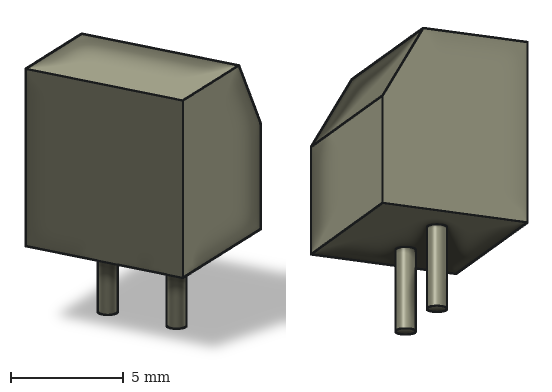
import cadquery as cq
import math

body_width = 8.0
body_depth = 7.0
body_height = 8.4
back_wall_height = 5.0
slope_angle = math.radians(60)

overall_height = 12.2
pin_length = overall_height - body_height
pin_diameter = 0.9
pin_spacing = 3.5
pin_offset_y = -0.1


def make_housing():
    """Block with a sloped upper back edge, standing on Z = 0."""
    front = -body_depth / 2
    back = body_depth / 2
    slope_run = (body_height - back_wall_height) / math.tan(slope_angle)
    profile = [
        (front, 0),
        (back, 0),
        (back, back_wall_height),
        (back - slope_run, body_height),
        (front, body_height),
    ]
    return cq.Workplane("YZ").polyline(profile).close().extrude(body_width / 2, both=True)


def make_pins():
    """Two round pins hanging below the housing."""
    centres = [(side * pin_spacing / 2, pin_offset_y) for side in (-1, 1)]
    return cq.Workplane("XY").pushPoints(centres).circle(pin_diameter / 2).extrude(-pin_length)


result = make_housing().union(make_pins())